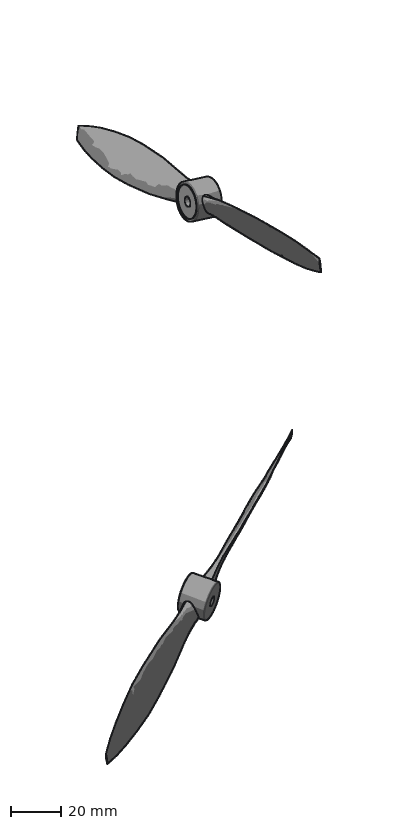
import cadquery as cq
import math

span = 180
hub_diameter = 16.4
hub_length = 11.5
bore_diameter = 4.1
recess_diameter = 14.0
recess_depth = 0.4
hub_edge_radius = 0.4

tip_radius = span / 2
root_radius = 5.4

face_curve_steps = 6

blade_sections = [
    (root_radius, 8.6, 7.2, 6.1),
    (9, 8.8, 6.5, 5.0),
    (16.2, 10.8, 5.2, 3.2),
    (25.2, 13.1, 6.0, 2.3),
    (46.8, 15.7, 7.4, 1.8),
    (57.6, 15.5, 7.4, 1.6),
    (68.4, 14.0, 6.0, 1.5),
    (79.2, 11.2, 4.0, 1.0),
    (86.4, 8.0, 2.2, 0.7),
    (tip_radius, 6.1, 0.9, 0.5),
]


def make_hub():
    """Round hub about Y with softened rims and a shallow recess in its -Y face."""
    back_face = cq.Workplane("XZ", origin=(0, hub_length / 2, 0))
    hub = back_face.circle(hub_diameter / 2).extrude(hub_length)
    hub = hub.edges("%CIRCLE").fillet(hub_edge_radius)
    front_face = cq.Workplane("XZ", origin=(0, -hub_length / 2, 0))
    return hub.cut(front_face.circle(recess_diameter / 2).extrude(-recess_depth))


def section_wire(distance, height, depth, thickness):
    """Tilted oval filling the given height and depth, drawn as two smooth face curves."""
    chord = math.sqrt(height**2 + depth**2 - thickness**2)
    pitch = math.asin(math.sqrt((depth**2 - thickness**2) / (chord**2 - thickness**2)))

    def oval_point(angle):
        along = chord / 2 * math.cos(angle)
        across = thickness / 2 * math.sin(angle)
        y = along * math.sin(pitch) + across * math.cos(pitch)
        z = along * math.cos(pitch) - across * math.sin(pitch)
        return cq.Vector(-distance, y, z)

    step = math.pi / face_curve_steps
    faces = []
    for start in (0, face_curve_steps):
        points = [oval_point((start + i) * step) for i in range(face_curve_steps + 1)]
        faces.append(cq.Edge.makeSpline(points))
    return cq.Wire.assembleEdges(faces)


def make_blade():
    """Twisted blade on the -X side, lofted from tip to root."""
    wires = [section_wire(*section) for section in reversed(blade_sections)]
    return cq.Workplane(cq.Solid.makeLoft(wires))


propeller = make_hub()
blade = make_blade()
for angle in (0, 180):
    propeller = propeller.union(blade.rotate((0, 0, 0), (0, 1, 0), angle))

bore = cq.Workplane("XZ").circle(bore_diameter / 2).extrude(hub_length, both=True)
result = propeller.cut(bore)